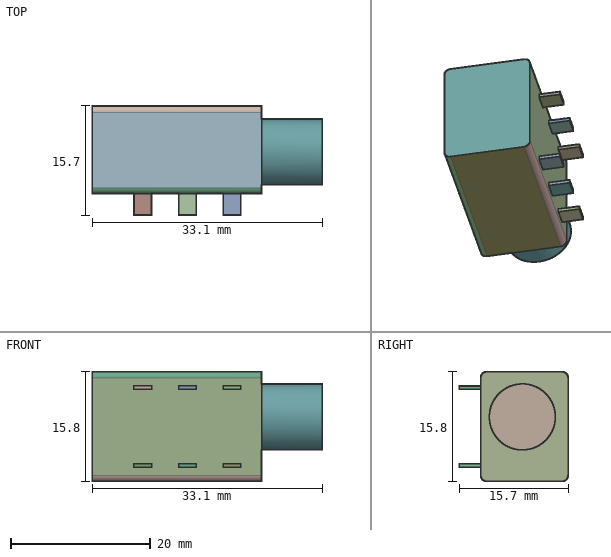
import cadquery as cq

total_length = 33.1
total_depth = 15.7

body_length = 24.35
body_depth = 12.6
body_height = 15.8
edge_radius = 0.9

barrel_diameter = 9.5
barrel_length = total_length - body_length
barrel_y = -0.3
barrel_z = 1.4

pin_width = 2.55
pin_thickness = 0.53
pin_length = total_depth - body_depth
pin_count = 3
pin_pitch = 6.42
first_pin_x = 7.28
row_spacing = 11.2


def make_body():
    """Housing block with its four lengthwise edges rounded."""
    block = cq.Workplane("XY").box(
        body_length, body_depth, body_height, centered=(False, True, True)
    )
    return block.edges("|X").fillet(edge_radius)


def make_barrel():
    """Solid cylinder continuing from the +X face of the housing."""
    return (
        cq.Workplane("YZ", origin=(body_length, barrel_y, barrel_z))
        .circle(barrel_diameter / 2)
        .extrude(barrel_length)
    )


def make_pins():
    """Both rows of terminals, extruded outward from the -Y face."""
    centres = [
        (first_pin_x + index * pin_pitch, side * row_spacing / 2)
        for index in range(pin_count)
        for side in (-1, 1)
    ]
    return (
        cq.Workplane("XZ", origin=(0, -body_depth / 2, 0))
        .pushPoints(centres)
        .rect(pin_width, pin_thickness)
        .extrude(pin_length)
    )


result = make_body().union(make_barrel()).union(make_pins())